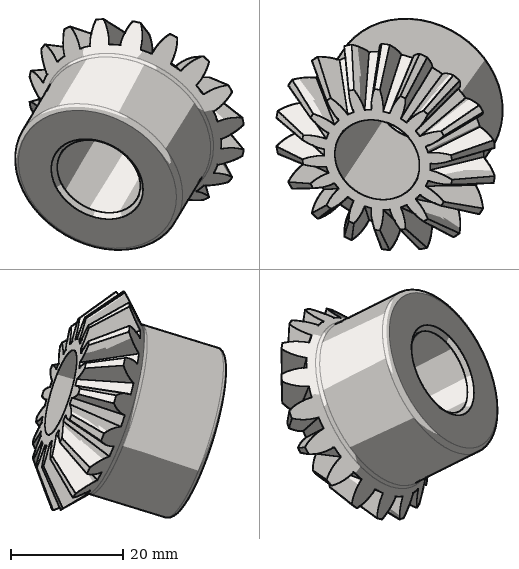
import cadquery as cq
import math

length = 25.75
tooth_count = 18
tip_radius = 20.55
tip_y = 20.5
root_radius = 17.2
small_end_tip_radius = 14.05
hub_radius = 15.85
hub_round = 0.85
neck_fillet = 1.0
bore_radius = 7.9
bore_chamfer = 0.82

root_half_width = 1.95
middle_half_width = 1.73
tip_half_width = 0.75
middle_radius = 18.7

apex_y = tip_y + tip_radius * (length - tip_y) / (tip_radius - small_end_tip_radius)
back_cone_shift = tip_y - tip_radius
neck_y = hub_radius + back_cone_shift

gap_clearance = 1.65
end_clearance = 0.4


def revolve_profile(points):
    """Revolve (radius, y) points about the Y axis."""
    return cq.Workplane("XY").polyline(points).close().revolve(360, (0, 0, 0), (0, 1, 0))


def make_blank():
    """Hub and uncut gear cones, with a rounded hub edge and a filleted neck."""
    blank = revolve_profile([
        (0, 0), (hub_radius, 0), (hub_radius, neck_y), (tip_radius, tip_y),
        (small_end_tip_radius, length), (0, length),
    ])
    blank = blank.faces("<Y").edges().fillet(hub_round)
    neck_edge = cq.selectors.BoxSelector(
        (-tip_radius, hub_round, -tip_radius), (tip_radius, root_radius, tip_radius), boundingbox=True
    )
    return blank.edges("%CIRCLE").edges(neck_edge).fillet(neck_fillet)


def gap_section(y):
    """Outline at height y of the gap centred on +Z, bounded by the flanks of two teeth."""
    def project(half_width, radius):
        """Carry a flank point from the back cone towards the apex, beside the gap."""
        ratio = (apex_y - y) / (apex_y - radius - back_cone_shift)
        angle = math.pi / tooth_count - math.atan2(half_width, radius)
        distance = math.hypot(half_width, radius) * ratio
        return distance * math.sin(angle), distance * math.cos(angle)

    root_x, root_z = project(root_half_width, root_radius)
    middle_x, middle_z = project(middle_half_width, middle_radius)
    tip_x, tip_z = project(tip_half_width, tip_radius)
    top_z = tip_z + gap_clearance
    return (
        cq.Workplane("XZ", origin=(0, y, 0))
        .moveTo(-root_x, root_z)
        .threePointArc((0, math.hypot(root_x, root_z)), (root_x, root_z))
        .threePointArc((middle_x, middle_z), (tip_x, tip_z))
        .lineTo(tip_x, top_z)
        .lineTo(-tip_x, top_z)
        .lineTo(-tip_x, tip_z)
        .threePointArc((-middle_x, middle_z), (-root_x, root_z))
        .close()
        .val()
    )


def make_gap():
    """Cutter for one gap between teeth, tapering towards the apex."""
    ends = [gap_section(neck_y), gap_section(length + end_clearance)]
    return cq.Workplane(cq.Solid.makeLoft(ends, True))


def make_bore():
    """Through bore with a chamfered mouth at the hub face."""
    mouth_radius = bore_radius + bore_chamfer
    return revolve_profile([
        (0, 0), (mouth_radius, 0), (bore_radius, bore_chamfer), (bore_radius, length), (0, length),
    ])


result = make_blank()
gap = make_gap()
for index in range(tooth_count):
    gap_angle = (index + 0.5) * 360 / tooth_count
    result = result.cut(gap.rotate((0, 0, 0), (0, 1, 0), gap_angle))
result = result.cut(make_bore())